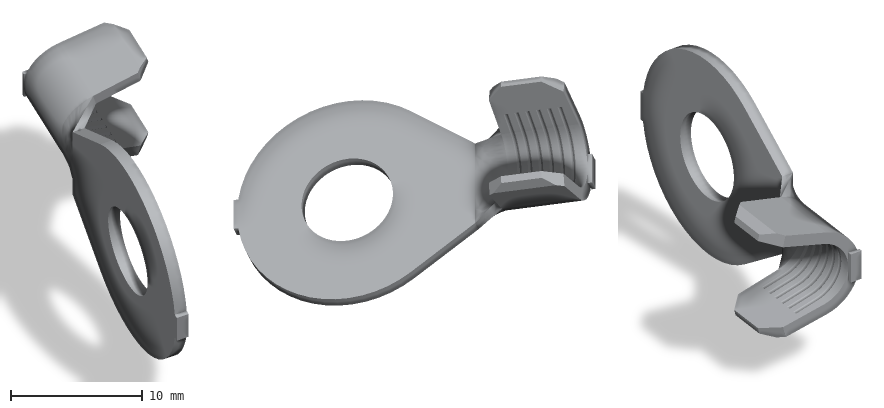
import cadquery as cq
import math

SHEET = 1.0
RING_RADIUS = 8.68
HOLE_RADIUS = 3.6
NECK_X = -10.08
NECK_HALF_WIDTH = 3.5

TAB_HALF_WIDTH = 1.27
RIGHT_TAB_X = 8.95
LEFT_TAB_X = -19.29

BARREL_FRONT_X = -12.68
BARREL_REAR_X = -19.0
BARREL_HEIGHT = 8.13
OUTER_RADIUS = 3.81
INNER_RADIUS = OUTER_RADIUS - SHEET
LEG_SPLAY = math.radians(13.6)
REAR_TAPER = math.radians(4.0)

TIP_BEVEL_DEPTH = 0.45
TIP_BEVEL_LENGTH = 0.88
CORNER_CHAMFER_FRONT = 1.27
CORNER_CHAMFER_REAR = 1.4

GROOVE_COUNT = 6
GROOVE_PITCH = 0.85
GROOVE_WIDTH = 0.34
GROOVE_DEPTH = GROOVE_WIDTH / 2
GROOVE_TOP_Y = 5.2
FIRST_GROOVE_X = -18.0

BEND_END_Y = OUTER_RADIUS - INNER_RADIUS * math.sin(LEG_SPLAY)
LEG_LENGTH = (BARREL_HEIGHT - BEND_END_Y) / math.cos(LEG_SPLAY)


def box(x_range, y_range, z_range):
    """Axis-aligned box between the given limits."""
    (x0, x1), (y0, y1), (z0, z1) = x_range, y_range, z_range
    return cq.Workplane("XY").box(x1 - x0, y1 - y0, z1 - z0, centered=False).translate((x0, y0, z0))


def make_ring_tongue():
    """Flat ring whose sides run as tangents from the neck onto the outer circle."""
    neck_distance = math.hypot(NECK_X, NECK_HALF_WIDTH)
    neck_angle = math.atan2(NECK_HALF_WIDTH, NECK_X)
    tangent_angle = neck_angle - math.acos(RING_RADIUS / neck_distance)
    tangent_x = RING_RADIUS * math.cos(tangent_angle)
    tangent_z = RING_RADIUS * math.sin(tangent_angle)
    outline = (
        cq.Workplane("XZ")
        .moveTo(NECK_X, NECK_HALF_WIDTH)
        .lineTo(tangent_x, tangent_z)
        .threePointArc((RING_RADIUS, 0), (tangent_x, -tangent_z))
        .lineTo(NECK_X, -NECK_HALF_WIDTH)
        .close()
        .extrude(-SHEET)
    )
    tab = box((0, RIGHT_TAB_X), (0, SHEET), (-TAB_HALF_WIDTH, TAB_HALF_WIDTH))
    hole = cq.Workplane("XZ").circle(HOLE_RADIUS).extrude(-SHEET)
    return outline.union(tab).cut(hole)


def bend_point(radius, side):
    """(Y, Z) of the point where the bend of the given radius runs into a leg."""
    return OUTER_RADIUS - radius * math.sin(LEG_SPLAY), side * radius * math.cos(LEG_SPLAY)


def bend_section(x):
    """Section of the curved bottom of the barrel, between the two legs."""
    return (
        cq.Workplane("YZ", origin=(x, 0, 0))
        .moveTo(*bend_point(OUTER_RADIUS, -1))
        .threePointArc((0, 0), bend_point(OUTER_RADIUS, 1))
        .lineTo(*bend_point(INNER_RADIUS, 1))
        .threePointArc((SHEET, 0), bend_point(INNER_RADIUS, -1))
        .close()
    )


def make_leg():
    """Upper leg: built straight along Y, then splayed about the bend centre and moved onto the bend."""
    barrel_length = BARREL_FRONT_X - BARREL_REAR_X
    side_profile = (
        cq.Workplane("YZ", origin=(BARREL_REAR_X, 0, 0))
        .moveTo(0, INNER_RADIUS)
        .lineTo(LEG_LENGTH, INNER_RADIUS)
        .lineTo(LEG_LENGTH, OUTER_RADIUS - TIP_BEVEL_DEPTH)
        .lineTo(LEG_LENGTH - TIP_BEVEL_LENGTH, OUTER_RADIUS)
        .lineTo(0, OUTER_RADIUS)
        .close()
        .extrude(barrel_length)
    )
    rear_tip_x = BARREL_REAR_X + (BARREL_HEIGHT - CORNER_CHAMFER_REAR) * math.tan(REAR_TAPER)
    face_outline = (
        cq.Workplane("XY")
        .moveTo(BARREL_REAR_X, 0)
        .lineTo(BARREL_FRONT_X, 0)
        .lineTo(BARREL_FRONT_X, LEG_LENGTH - CORNER_CHAMFER_FRONT)
        .lineTo(BARREL_FRONT_X - CORNER_CHAMFER_FRONT, LEG_LENGTH)
        .lineTo(rear_tip_x + CORNER_CHAMFER_REAR, LEG_LENGTH)
        .lineTo(rear_tip_x, LEG_LENGTH - CORNER_CHAMFER_REAR)
        .lineTo(BARREL_REAR_X, LEG_LENGTH - CORNER_CHAMFER_REAR)
        .close()
        .extrude(OUTER_RADIUS)
    )
    flat_leg = side_profile.intersect(face_outline)
    splayed = flat_leg.rotate((0, 0, 0), (1, 0, 0), math.degrees(LEG_SPLAY))
    return splayed.translate((0, OUTER_RADIUS, 0))


def make_barrel():
    """U-shaped crimp barrel with its rear end raked forward towards the leg tips."""
    leg = make_leg()
    bend = bend_section(BARREL_REAR_X).extrude(BARREL_FRONT_X - BARREL_REAR_X)
    barrel = bend.union(leg).union(leg.mirror("XY"))
    rake = (
        cq.Workplane("XY")
        .moveTo(BARREL_REAR_X, 0)
        .lineTo(BARREL_REAR_X + BARREL_HEIGHT * math.tan(REAR_TAPER), BARREL_HEIGHT)
        .lineTo(BARREL_REAR_X, BARREL_HEIGHT)
        .close()
        .extrude(BARREL_HEIGHT, both=True)
    )
    tab = (
        cq.Workplane("XY")
        .moveTo(LEFT_TAB_X, 0)
        .lineTo(BARREL_REAR_X, 0)
        .lineTo(BARREL_REAR_X + SHEET * math.tan(REAR_TAPER), SHEET)
        .lineTo(LEFT_TAB_X, SHEET)
        .close()
        .extrude(TAB_HALF_WIDTH, both=True)
    )
    return barrel.cut(rake).union(tab)


def groove_section(x, depth):
    """U-shaped outline that lies the given depth below the inner faces of the bend and both legs."""
    radius = INNER_RADIUS + depth
    lower_y, lower_z = bend_point(radius, -1)
    top_half_width = -lower_z + (GROOVE_TOP_Y - lower_y) * math.tan(LEG_SPLAY)
    outline = (
        cq.Workplane("YZ", origin=(x, 0, 0))
        .moveTo(GROOVE_TOP_Y, -top_half_width)
        .lineTo(lower_y, lower_z)
        .threePointArc((OUTER_RADIUS - radius, 0), bend_point(radius, 1))
        .lineTo(GROOVE_TOP_Y, top_half_width)
        .close()
    )
    return outline.val()


def cut_grooves(body):
    """Cut the row of V-shaped grooves around the inside of the barrel."""
    for index in range(GROOVE_COUNT):
        rear_x = FIRST_GROOVE_X + index * GROOVE_PITCH
        sections = [
            groove_section(rear_x, 0),
            groove_section(rear_x + GROOVE_WIDTH / 2, GROOVE_DEPTH),
            groove_section(rear_x + GROOVE_WIDTH, 0),
        ]
        body = body.cut(cq.Workplane(cq.Solid.makeLoft(sections, True)))
    return body


def make_transition():
    """Ruled blend from the curved barrel bottom to the flat neck of the tongue."""
    barrel_wire = bend_section(BARREL_FRONT_X).val()
    neck_wire = (
        cq.Workplane("YZ", origin=(NECK_X, 0, 0))
        .moveTo(0, -NECK_HALF_WIDTH)
        .lineTo(0, NECK_HALF_WIDTH)
        .lineTo(SHEET, NECK_HALF_WIDTH)
        .lineTo(SHEET, -NECK_HALF_WIDTH)
        .close()
        .val()
    )
    return cq.Workplane(cq.Solid.makeLoft([barrel_wire, neck_wire], True))


plain_terminal = make_ring_tongue().union(make_transition()).union(make_barrel())
result = cut_grooves(plain_terminal).solids()